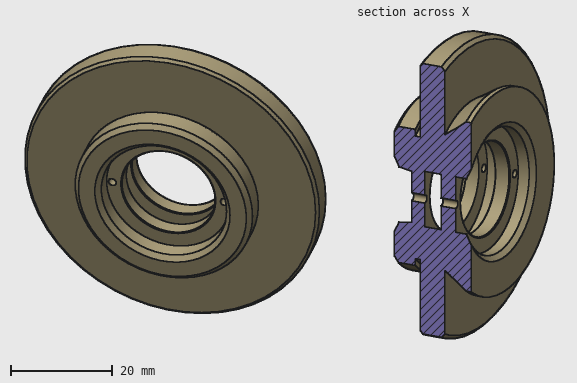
import cadquery as cq

total_length = 17.5
boss_diameter = 36.4
boss_chamfer = 0.95
boss_length = 4.85
neck_diameter = 34.3
flange_diameter = 60.45
flange_front = 5.85
flange_back = 11.55
flange_front_chamfer = 0.6
flange_back_chamfer = 0.8
cone_base_diameter = 36.4
rim_diameter = 41.85
rim_width = 1.15

recess_diameter = 25.7
recess_floor_diameter = 25.3
recess_chamfer = 1.0
recess_depth = 3.9
bore_diameter = 19.1
bore_chamfer = 0.2
lip_thickness = 3.0
chamber_diameter = 25.7
chamber_back = 10.6
back_recess_depth = 3.5

pin_hole_diameter = 1.6
pin_hole_spacing = 23.0


def disc(diameter, start, end):
    """Solid cylinder on the Y axis between two distances from the front face."""
    return cq.Workplane("XZ", origin=(0, start, 0)).circle(diameter / 2).extrude(start - end)


def cone(start_diameter, end_diameter, start, end):
    """Solid truncated cone on the Y axis."""
    profile = [(0, start), (start_diameter / 2, start), (end_diameter / 2, end), (0, end)]
    return cq.Workplane("XY").polyline(profile).close().revolve(360, (0, 0), (0, 1))


def make_body():
    boss = disc(boss_diameter, 0, boss_length).faces("<Y").chamfer(boss_chamfer)
    neck = disc(neck_diameter, boss_length, flange_front)
    flange = disc(flange_diameter, flange_front, flange_back)
    flange = flange.faces("<Y").chamfer(flange_front_chamfer)
    flange = flange.faces(">Y").edges().chamfer(flange_back_chamfer)
    rim_start = total_length - rim_width
    flare = cone(cone_base_diameter, rim_diameter, flange_back, rim_start)
    rim = disc(rim_diameter, rim_start, total_length)
    return boss.union(neck).union(flange).union(flare).union(rim)


def cut_bore(body):
    mouth_diameter = recess_diameter + 2 * recess_chamfer
    bore_mouth_diameter = bore_diameter + 2 * bore_chamfer
    lip_back = recess_depth + lip_thickness
    body = body.cut(disc(bore_diameter, 0, total_length))
    body = body.cut(cone(recess_diameter, recess_floor_diameter, recess_chamfer, recess_depth))
    body = body.cut(cone(mouth_diameter, recess_diameter, 0, recess_chamfer))
    body = body.cut(disc(chamber_diameter, lip_back, chamber_back))
    back_chamfer_start = total_length - recess_chamfer
    bore_back = total_length - back_recess_depth
    body = body.cut(disc(recess_diameter, bore_back, total_length))
    body = body.cut(cone(recess_diameter, mouth_diameter, back_chamfer_start, total_length))
    body = body.cut(cone(bore_diameter, bore_mouth_diameter, bore_back - bore_chamfer, bore_back))
    for start in (recess_depth, chamber_back):
        body = body.cut(cone(bore_mouth_diameter, bore_diameter, start, start + bore_chamfer))
    return body


def cut_pin_holes(body):
    hole = disc(pin_hole_diameter, 0, total_length)
    for side in (-1, 1):
        body = body.cut(hole.translate((side * pin_hole_spacing / 2, 0, 0)))
    return body


result = cut_pin_holes(cut_bore(make_body()))